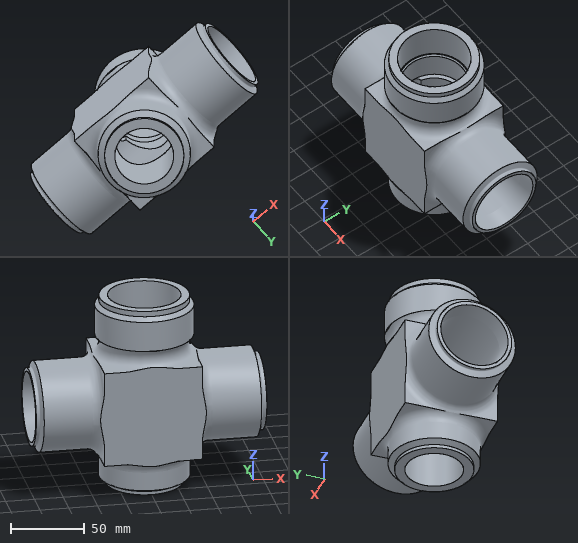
import cadquery as cq
import math

block_width = 68.0
block_depth = 67.0
half_block = block_width / 2

branch_radius = 63.0 / 2
lip_radius = 54.0 / 2
arm_reach = 80.0
bottom_reach = 60.0
flare_radius = 8.0
flare_end = half_block + flare_radius
arm_bevel_start = arm_reach - 4.6
arm_bevel_angle = math.radians(22.5)
lip_root_radius = 0.8
bottom_bevel_start = bottom_reach - 5.0
bottom_lip_start = bottom_reach - 2.6

top_reach = 76.5
rim_radius = 62.0 / 2
collar_radius = 68.0 / 2
neck_radius = rim_radius
rim_height = 3.9
collar_chamfer = collar_radius - rim_radius
rim_start = top_reach - rim_height
collar_chamfer_start = rim_start - collar_chamfer
neck_center_radius = neck_radius + flare_radius
collar_start = flare_end + math.sqrt(flare_radius**2 - (neck_center_radius - collar_radius) ** 2)

arm_bore_radius = 45.0 / 2
arm_mouth_radius = 48.7 / 2
arm_taper_depth = 11.6
vertical_bore_radius = 40.0 / 2
socket_radius = 50.0 / 2
socket_floor = 50.5
guide_radius = 46.5 / 2
guide_lead_radius = 48.7 / 2
guide_lead_depth = 1.1
seat_height = 30.0
port_offset = vertical_bore_radius
port_radius = guide_radius - port_offset


def revolve_about_z(profile):
    return profile.close().revolve(360, (0, 0, 0), (0, 1, 0))


def toward_x(shape, side):
    """Turn a shape built along +Z so that it points along +X or -X."""
    return shape.rotate((0, 0, 0), (0, 1, 0), side * 90)


def downward(shape):
    return shape.rotate((0, 0, 0), (1, 0, 0), 180)


def flare(root_radius, end_height):
    """Concave blend standing on the block face, up to end_height along Z."""
    center_radius = root_radius + flare_radius

    def curve_point(height):
        drop = math.sqrt(flare_radius**2 - (flare_end - height) ** 2)
        return (center_radius - drop, height)

    profile = (
        cq.Workplane("XZ")
        .moveTo(0, half_block)
        .lineTo(*curve_point(half_block))
        .threePointArc(curve_point((half_block + end_height) / 2), curve_point(end_height))
        .lineTo(0, end_height)
    )
    return revolve_about_z(profile)


def arm_tube():
    """Solid side branch with a bevelled end, a lip and a blend tangent to both."""
    blend_center_radius = lip_radius + lip_root_radius
    bevel_end_radius = blend_center_radius - lip_root_radius * math.sin(arm_bevel_angle)
    bevel_end = arm_bevel_start + (branch_radius - bevel_end_radius) * math.tan(arm_bevel_angle)
    lip_start = bevel_end + lip_root_radius * math.cos(arm_bevel_angle)
    middle_angle = (arm_bevel_angle + math.pi / 2) / 2
    blend_middle = (
        blend_center_radius - lip_root_radius * math.sin(middle_angle),
        lip_start - lip_root_radius * math.cos(middle_angle),
    )
    profile = (
        cq.Workplane("XZ")
        .lineTo(branch_radius, 0)
        .lineTo(branch_radius, arm_bevel_start)
        .lineTo(bevel_end_radius, bevel_end)
        .threePointArc(blend_middle, (lip_radius, lip_start))
        .lineTo(lip_radius, arm_reach)
        .lineTo(0, arm_reach)
    )
    return revolve_about_z(profile)


def bottom_tube():
    profile = (
        cq.Workplane("XZ")
        .lineTo(branch_radius, 0)
        .lineTo(branch_radius, bottom_bevel_start)
        .lineTo(lip_radius, bottom_lip_start)
        .lineTo(lip_radius, bottom_reach)
        .lineTo(0, bottom_reach)
    )
    return revolve_about_z(profile)


def top_collar():
    profile = (
        cq.Workplane("XZ")
        .moveTo(0, collar_start)
        .lineTo(collar_radius, collar_start)
        .lineTo(collar_radius, collar_chamfer_start)
        .lineTo(rim_radius, rim_start)
        .lineTo(rim_radius, top_reach)
        .lineTo(0, top_reach)
    )
    return revolve_about_z(profile)


def block_and_flares():
    """Block with its four flares, cut flush with the front and back faces.

    Beyond a block edge only the material common to the two neighbouring flares remains.
    """
    envelope = 2 * collar_start
    arm_flare = flare(branch_radius, flare_end)
    arm_flares = [toward_x(arm_flare, side) for side in (1, -1)]
    upright_flares = [flare(neck_radius, collar_start), downward(arm_flare)]
    between_top_and_bottom = cq.Workplane("XY").box(envelope, block_depth, block_width)
    between_sides = cq.Workplane("XY").box(block_width, block_depth, envelope)
    between_faces = cq.Workplane("XY").box(envelope, block_depth, envelope)

    body = cq.Workplane("XY").box(block_width, block_depth, block_width)
    for side_flare in arm_flares:
        body = body.union(side_flare.intersect(between_top_and_bottom))
    for upright_flare in upright_flares:
        body = body.union(upright_flare.intersect(between_sides))
    for side_flare in arm_flares:
        for upright_flare in upright_flares:
            corner = side_flare.intersect(upright_flare).intersect(between_faces)
            body = body.union(corner)
    return body


def arm_bore():
    """Bore of one side branch, widening conically to its mouth."""
    profile = (
        cq.Workplane("XZ")
        .lineTo(arm_bore_radius, 0)
        .lineTo(arm_bore_radius, arm_reach - arm_taper_depth)
        .lineTo(arm_mouth_radius, arm_reach)
        .lineTo(0, arm_reach)
    )
    return revolve_about_z(profile)


def vertical_bore():
    """Through bore with the seat, the guide and its lead-in, and the top socket."""
    profile = (
        cq.Workplane("XZ")
        .moveTo(0, -bottom_reach)
        .lineTo(vertical_bore_radius, -bottom_reach)
        .lineTo(vertical_bore_radius, seat_height)
        .lineTo(guide_radius, seat_height)
        .lineTo(guide_radius, socket_floor - guide_lead_depth)
        .lineTo(guide_lead_radius, socket_floor)
        .lineTo(socket_radius, socket_floor)
        .lineTo(socket_radius, top_reach)
        .lineTo(0, top_reach)
    )
    return revolve_about_z(profile)


def seat_port():
    return cq.Workplane("XY").center(-port_offset, 0).circle(port_radius).extrude(seat_height)


result = block_and_flares().union(top_collar()).union(downward(bottom_tube()))
for side in (1, -1):
    result = result.union(toward_x(arm_tube(), side))
for side in (1, -1):
    result = result.cut(toward_x(arm_bore(), side))
result = result.cut(vertical_bore()).cut(seat_port())